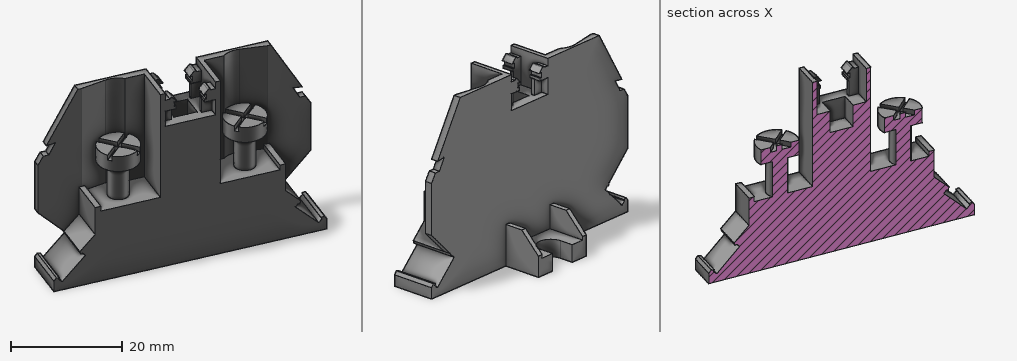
import cadquery as cq
import math


LENGTH = 53.3
HEIGHT = 37.0
WIDTH = 8.9
PLATE = 1.5
BRACKET_REACH = 7.85
HALF = LENGTH / 2

BODY_HALF = 18.6
BODY_SLOPE_TOP = 10.25
LEDGE_TOP = 16.0
LEDGE_RIM = 1.1
FLOOR_DROP = 1.0

CHANNEL_HALF = 4.9
WALL = 0.95
CHANNEL_FLOOR = 29.95
WALL_OUTER = CHANNEL_HALF + WALL
POCKET_SIDE = 4.55

CLIP_BOTTOM = 33.2
CLIP_LENGTH = 2.4
POST_DEPTH = 0.7
POST_FACE = 2.95

SCREW_X = 4.8
SCREW_Y = 12.35
HEAD_RADIUS = 4.05
HEAD_BOTTOM = 22.35
HEAD_TOP = 25.55
SHANK_RADIUS = 2.0
CROSS_GROOVES = {45: 1.15, 135: 0.8}
CROSS_DEPTH = 1.0
RECESS_RADIUS = 4.25
RECESS_TAPER = 10.0

BRACKET_HALF = 6.5
BRACKET_BASE = 3.45
RIB = 1.0
RIB_TOP = 8.15
RIB_CHAMFER = 4.0
SLOT_RADIUS = 2.65
SLOT_CENTRE = 2.75

FOOT = [
    (HALF, 0),
    (HALF, 2.25),
    (26.15, 2.9),
    (25.55, 2.7),
    (25.7, 2.4),
    (25.05, 1.75),
    (20.5, 6.25),
    (21.05, 6.75),
    (21.35, 6.7),
    (21.6, 7.3),
]

PLATE_EDGE = [
    (HALF, 12.45),
    (HALF, 22.65),
    (25.6, 24.35),
    (24.5, 24.35),
    (23.25, 26.65),
    (25.0, 26.45),
    (18.85, HEIGHT),
]

CLIP_SHOULDER = (4.0, 35.55)
CLIP_CROWN = (3.75, 35.8)
CLIP_NOSE_START = (3.45, 35.7)
CLIP_TIP = (2.55, 34.75)
CLIP_GROOVE = [(3.15, 34.75), (3.15, 33.8), (2.75, 33.8), (2.75, CLIP_BOTTOM)]


def box(x0, x1, y0, y1, z0, z1):
    """Box between two opposite corners."""
    return cq.Workplane("XY").box(x1 - x0, y1 - y0, z1 - z0, centered=False).translate((x0, y0, z0))


def extrude_x(points, x0, x1):
    """Closed (Y, Z) outline extruded from x0 to x1."""
    return cq.Workplane("YZ").workplane(offset=x0).polyline(points).close().extrude(x1 - x0)


def mirrored(half_outline):
    """Half outline followed by its reflection about Y = 0."""
    return half_outline + [(-y, z) for y, z in reversed(half_outline)]


def both_sides(solid):
    """Solid together with its reflection about Y = 0."""
    return solid.union(solid.mirror("XZ"))


def make_housing():
    plate = extrude_x(mirrored(FOOT + PLATE_EDGE), 0, PLATE)
    block_edge = [(BODY_HALF, BODY_SLOPE_TOP), (BODY_HALF, LEDGE_TOP)]
    block = extrude_x(mirrored(FOOT + block_edge), 0, WIDTH)
    tower = box(0, WIDTH, -WALL_OUTER, WALL_OUTER, 0, HEIGHT)
    channel = box(0, WIDTH, -CHANNEL_HALF, CHANNEL_HALF, CHANNEL_FLOOR, HEIGHT)
    pocket = cq.Workplane("XY").box(POCKET_SIDE, POCKET_SIDE, POCKET_SIDE)
    pocket = pocket.translate((WIDTH / 2, 0, CHANNEL_FLOOR - POCKET_SIDE / 2))
    return plate.union(block).union(tower).cut(channel).cut(pocket)


def make_screw_bay():
    """Space cut for one screw: sunken floor plus the relief in the plate's inner face."""
    floor_z = LEDGE_TOP - FLOOR_DROP
    bay_end = BODY_HALF - LEDGE_RIM
    floor = box(PLATE, WIDTH, WALL_OUTER, bay_end, floor_z, LEDGE_TOP)

    taper = math.radians(RECESS_TAPER)
    tangent_x = SCREW_X - RECESS_RADIUS * math.cos(taper)
    tangent_y = SCREW_Y + RECESS_RADIUS * math.sin(taper)
    flank_end = tangent_y + (PLATE - tangent_x) / math.tan(taper)
    arc_end = SCREW_Y - math.sqrt(RECESS_RADIUS**2 - (SCREW_X - PLATE) ** 2)
    relief = (
        cq.Workplane("XY")
        .workplane(offset=floor_z)
        .moveTo(PLATE, flank_end)
        .lineTo(tangent_x, tangent_y)
        .threePointArc((SCREW_X - RECESS_RADIUS, SCREW_Y), (PLATE, arc_end))
        .close()
        .extrude(HEIGHT - floor_z)
    )
    rim = box(0, PLATE, bay_end, HALF, floor_z, LEDGE_TOP)
    return floor.union(relief.cut(rim))


def make_screw():
    shank_bottom = LEDGE_TOP - FLOOR_DROP
    shank = cq.Workplane("XY").workplane(offset=shank_bottom).circle(SHANK_RADIUS)
    shank = shank.extrude(HEAD_BOTTOM - shank_bottom)
    head = cq.Workplane("XY").workplane(offset=HEAD_BOTTOM).circle(HEAD_RADIUS)
    head = head.extrude(HEAD_TOP - HEAD_BOTTOM)
    for angle, width in CROSS_GROOVES.items():
        groove = cq.Workplane("XY").box(2 * HEAD_RADIUS, width, 2 * CROSS_DEPTH)
        head = head.cut(groove.rotate((0, 0, 0), (0, 0, 1), angle).translate((0, 0, HEAD_TOP)))
    return shank.union(head).translate((SCREW_X, SCREW_Y, 0))


def make_clips():
    """The two snap clips on one channel wall, each above its own narrower post."""
    near_clip = (
        cq.Workplane("YZ")
        .moveTo(CHANNEL_HALF, CLIP_BOTTOM)
        .lineTo(CHANNEL_HALF, CLIP_SHOULDER[1])
        .lineTo(*CLIP_SHOULDER)
        .threePointArc(CLIP_CROWN, CLIP_NOSE_START)
        .polyline([CLIP_TIP] + CLIP_GROOVE, includeCurrent=True)
        .close()
        .extrude(CLIP_LENGTH)
    )
    far_clip_x = WIDTH - CLIP_LENGTH
    far_clip = near_clip.translate((far_clip_x, 0, 0))
    near_post = box(PLATE, PLATE + POST_DEPTH, POST_FACE, CHANNEL_HALF, CHANNEL_FLOOR, CLIP_BOTTOM)
    far_post = near_post.translate((far_clip_x - PLATE, 0, 0))
    return near_clip.union(near_post).union(far_clip).union(far_post)


def make_bracket():
    rib_outline = [
        (0, 0),
        (-BRACKET_REACH, 0),
        (-BRACKET_REACH, RIB_TOP - RIB_CHAMFER),
        (-BRACKET_REACH + RIB_CHAMFER, RIB_TOP),
        (0, RIB_TOP),
    ]
    rib = cq.Workplane("XZ").polyline(rib_outline).close().extrude(-RIB)
    ribs = both_sides(rib.translate((0, BRACKET_HALF - RIB, 0)))
    base = box(-BRACKET_REACH, 0, -BRACKET_HALF, BRACKET_HALF, 0, BRACKET_BASE)
    slot_x = SLOT_CENTRE - BRACKET_REACH
    slot = box(-BRACKET_REACH, slot_x, -SLOT_RADIUS, SLOT_RADIUS, 0, BRACKET_BASE)
    slot_end = cq.Workplane("XY").center(slot_x, 0).circle(SLOT_RADIUS).extrude(BRACKET_BASE)
    return base.cut(slot).cut(slot_end).union(ribs)


screw = make_screw()
other_screw = screw.translate((0, -2 * SCREW_Y, 0))

result = (
    make_housing()
    .cut(both_sides(make_screw_bay()))
    .union(screw)
    .union(other_screw)
    .union(both_sides(make_clips()))
    .union(make_bracket())
)